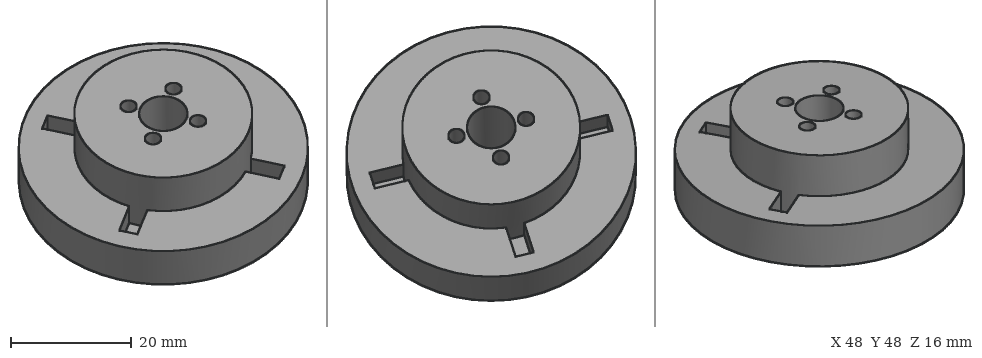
import cadquery as cq

flange_diameter = 48.0
boss_diameter = 29.5
total_height = 16.0
flange_height = total_height / 2

bore_diameter = 8.0
bolt_hole_diameter = 2.7
bolt_circle_radius = 6.0
bolt_count = 4

pocket_width = 3.1
pocket_outer_radius = 20.5
pocket_depth = flange_height / 2
pocket_angles = (0, 180, 270)


def make_body():
    """Round flange with a concentric boss on top."""
    flange = cq.Workplane("XY").circle(flange_diameter / 2).extrude(flange_height)
    boss = cq.Workplane("XY").circle(boss_diameter / 2).extrude(total_height)
    return flange.union(boss)


def make_holes():
    """Central bore and the ring of bolt holes, full height."""
    bore = cq.Workplane("XY").circle(bore_diameter / 2).extrude(total_height)
    bolts = (
        cq.Workplane("XY")
        .polarArray(bolt_circle_radius, 0, 360, bolt_count)
        .circle(bolt_hole_diameter / 2)
        .extrude(total_height)
    )
    return bore.union(bolts)


def make_pocket(angle):
    """Square-ended radial pocket whose inner end follows the boss wall."""
    pocket_floor = flange_height - pocket_depth
    bar = (
        cq.Workplane("XY", origin=(0, 0, pocket_floor))
        .rect(2 * pocket_outer_radius, pocket_width)
        .extrude(pocket_depth)
    )
    outer_half = cq.Workplane("XY").box(
        flange_diameter, flange_diameter, total_height, centered=(False, True, False)
    )
    boss_core = cq.Workplane("XY").circle(boss_diameter / 2).extrude(total_height)
    pocket = bar.intersect(outer_half).cut(boss_core)
    return pocket.rotate((0, 0, 0), (0, 0, 1), angle)


result = make_body().cut(make_holes())
for pocket_angle in pocket_angles:
    result = result.cut(make_pocket(pocket_angle))